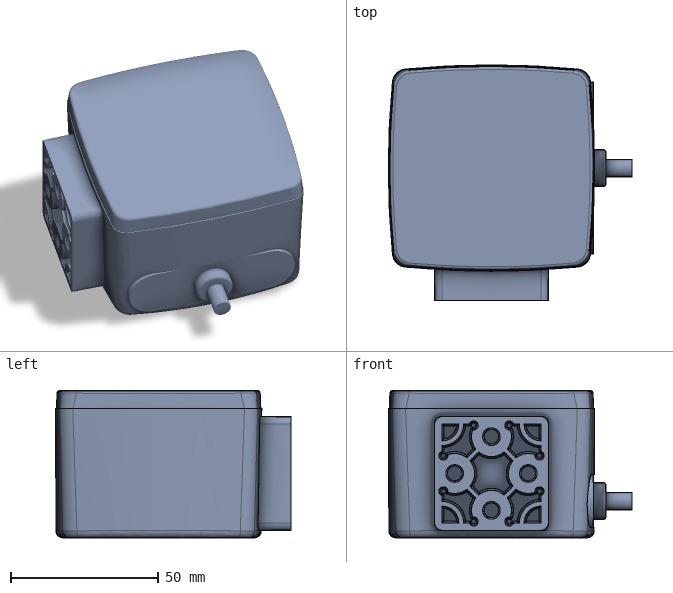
import cadquery as cq
import math

overall_length = 82.8
body_height = 50.0
parting_height = 43.9
bottom_fillet = 2.5
cap_fillet = 1.0

floor_section = (34.9, 32.45, 27.65)
rim_section = (35.0, 33.6, 29.15)
cap_base_section = (34.7, 33.45, 29.1)
cap_top_section = (34.45, 33.1, 27.7)

block_face_y = -45.0
block_size = 38.6
block_corner_radius = 2.5
block_length = 13.25
block_draft = 0.5
block_center_z = 21.9

hole_offset = 12.5
hole_diameter = 5.0
hole_depth = 12.0
hole_chamfer = 0.5
recess_depth = 12.0
recess_size = 33.6
recess_draft = 3.2
boss_radius = 6.8
diagonal_rib_inner = 16.4
diagonal_rib_outer = 19.4
corner_rib_inner = 5.7
corner_rib_outer = 7.4
relief_radius = 1.5
relief_near = 6.05
relief_far = 16.3

gland_z = 12.5
pad_x = 34.6
pad_length = 58.3
pad_width = 18.05
pad_embed = 4.1
gland_diameter = 12.5
gland_end_x = 38.8
gland_fillet = 0.9
cable_diameter = 6.0
cable_end_x = overall_length - rim_section[0]

QUARTER_TURNS = (0, 90, 180, 270)


def rotated(x, y, degrees):
    """Rotate a plan point about the origin."""
    turn = math.radians(degrees)
    return (
        x * math.cos(turn) - y * math.sin(turn),
        x * math.sin(turn) + y * math.cos(turn),
    )


def housing_outline(section):
    """Wire of four bowed sides joined by tangent corner arcs."""
    mid_reach, end_reach, half_length = section
    side_angle = 2 * math.atan((mid_reach - end_reach) / half_length)
    corner_span = math.pi / 2 - 2 * side_angle
    corner_chord = (end_reach - half_length) * math.sqrt(2)
    corner_rise = corner_chord / 2 * math.tan(corner_span / 4)
    corner_mid = (end_reach + half_length) / 2 + corner_rise / math.sqrt(2)

    outline = cq.Workplane("XY").moveTo(end_reach, -half_length)
    for turn in QUARTER_TURNS:
        outline = outline.threePointArc(
            rotated(mid_reach, 0, turn), rotated(end_reach, half_length, turn)
        )
        outline = outline.threePointArc(
            rotated(corner_mid, corner_mid, turn), rotated(half_length, end_reach, turn)
        )
    return outline.close().val()


def housing_stage(lower_section, lower_z, upper_section, upper_z):
    """Ruled solid between two housing outlines."""
    lower = housing_outline(lower_section).translate(cq.Vector(0, 0, lower_z))
    upper = housing_outline(upper_section).translate(cq.Vector(0, 0, upper_z))
    return cq.Workplane(cq.Solid.makeLoft([lower, upper], True))


def housing():
    base = housing_stage(floor_section, 0, rim_section, parting_height)
    base = base.faces("<Z").edges().fillet(bottom_fillet)
    cap = housing_stage(cap_base_section, parting_height, cap_top_section, body_height)
    cap = cap.faces(">Z").edges().fillet(cap_fillet)
    return base.union(cap)


def block_plane():
    """Plane on the block's outer face, with its normal pointing into the part."""
    plane = cq.Plane(
        origin=(0, block_face_y, block_center_z), xDir=(1, 0, 0), normal=(0, 1, 0)
    )
    return cq.Workplane(plane)


def mounting_block():
    outline = cq.Sketch().rect(block_size, block_size).vertices().fillet(block_corner_radius)
    return block_plane().placeSketch(outline).extrude(block_length, taper=-block_draft)


def drafted_square(size, draft, turn=0):
    outline = cq.Sketch().rect(size, size, angle=turn)
    return block_plane().placeSketch(outline).extrude(recess_depth, taper=draft)


def drafted_rounds(points, radius, draft):
    return block_plane().pushPoints(points).circle(radius).extrude(recess_depth, taper=draft)


def hole_points():
    return [rotated(hole_offset, 0, turn) for turn in QUARTER_TURNS]


def ribbed_recess():
    """Material removed from the block, leaving bosses and ribs standing."""
    corner = recess_size / 2
    corners = [rotated(corner, corner, turn) for turn in QUARTER_TURNS]
    reliefs = [
        rotated(relief_far, side * relief_near, turn)
        for turn in QUARTER_TURNS
        for side in (-1, 1)
    ]

    opening = drafted_square(recess_size, recess_draft)
    bosses = drafted_rounds(hole_points(), boss_radius, -recess_draft)
    diagonal_ribs = drafted_square(diagonal_rib_outer, -recess_draft, 45).cut(
        drafted_square(diagonal_rib_inner, recess_draft, 45)
    )
    corner_ribs = drafted_rounds(corners, corner_rib_outer, -recess_draft).cut(
        drafted_rounds(corners, corner_rib_inner, recess_draft)
    )
    recess = opening.cut(bosses).cut(diagonal_ribs).cut(corner_ribs)
    return recess.union(drafted_rounds(reliefs, relief_radius, recess_draft))


def mounting_holes():
    mouth_radius = hole_diameter / 2 + hole_chamfer
    bores = block_plane().pushPoints(hole_points()).circle(hole_diameter / 2).extrude(hole_depth)
    mouths = block_plane().pushPoints(hole_points()).circle(mouth_radius)
    return bores.union(mouths.extrude(hole_chamfer, taper=45))


def gland_plane(x):
    return cq.Workplane("YZ", origin=(x, 0, gland_z))


def gland_pad():
    return gland_plane(pad_x).slot2D(pad_length, pad_width).extrude(-pad_embed)


def pad_clearance():
    """Bowed wall material standing proud of the flat pad."""
    return gland_plane(pad_x).slot2D(pad_length, pad_width).extrude(rim_section[0] - pad_x)


def gland_and_cable():
    start_x = pad_x - pad_embed
    gland = gland_plane(start_x).circle(gland_diameter / 2).extrude(gland_end_x - start_x)
    gland = gland.faces(">X").edges().fillet(gland_fillet)
    cable = gland_plane(start_x).circle(cable_diameter / 2).extrude(cable_end_x - start_x)
    return gland.union(cable)


result = (
    housing()
    .union(mounting_block())
    .cut(ribbed_recess())
    .cut(mounting_holes())
    .union(gland_pad())
    .cut(pad_clearance())
    .union(gland_and_cable())
)